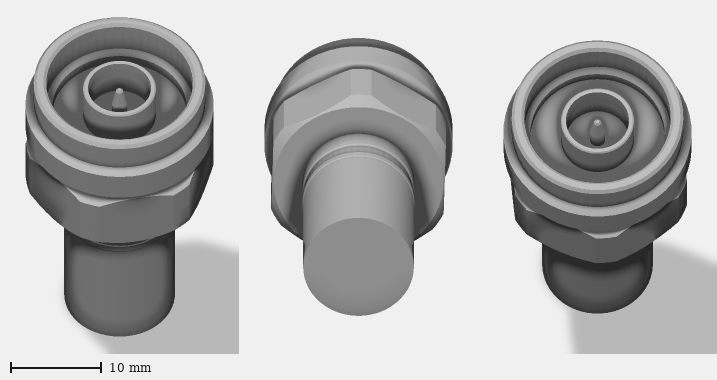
import cadquery as cq
import math

total_height = 36.6
max_radius = 10.4
flare_slope = math.tan(math.radians(30))

collar_radius = 9.48
flare_drop = (max_radius - collar_radius) * flare_slope
rim_chamfer = 0.33
band_top = 32.57
band_bottom = 29.02

groove_top = band_bottom - flare_drop
groove_root_height = 28.15
groove_root_radius = 9.3

nut_across_flats = 19.05
nut_bottom = 20.05
nut_bottom_chamfer = 1.02
nut_shoulder = 27.15
nut_top_radius = 9.75
nut_top = nut_shoulder + (max_radius - nut_top_radius) * flare_slope

neck_radius = 5.93
ring_radius = 6.2
waist_radius = 6.0
sleeve_radius = 6.1
upper_ring_top = 19.85
upper_ring_bottom = 17.53
waist_taper = 0.22
lower_ring_top = 15.5
lower_ring_bottom = 14.8
ring_taper = 0.2

bore_radius = 8.1
bore_bottom = 32.57
well_radius = 7.43
well_top = 32.05
well_floor = 30.8

tube_radius = 4.03
tube_inner_radius = 3.48
tube_top = 35.45
tube_chamfer = 0.15

pin_radius = 0.85
pin_taper_bottom = 32.75
pin_tip_radius = 0.4
pin_taper_top = 34.95
pin_end_radius = 0.2
pin_top = 35.2


def revolve_profile(profile):
    """Close an X-Z half profile and turn it about the Z axis."""
    return profile.close().revolve(360, (0, 0, 0), (0, 1, 0))


def arc_from_groove_root(profile, edge_radius, edge_height):
    """Draw the groove arc that leaves its root vertically and ends at the given edge."""
    depth = edge_radius - groove_root_radius
    rise = edge_height - groove_root_height
    arc_radius = (rise**2 + depth**2) / (2 * depth)
    half_angle = math.asin(rise / arc_radius) / 2
    middle = (
        groove_root_radius + arc_radius * (1 - math.cos(half_angle)),
        groove_root_height + arc_radius * math.sin(half_angle),
    )
    return (
        profile
        .lineTo(groove_root_radius, groove_root_height)
        .threePointArc(middle, (edge_radius, edge_height))
    )


def make_collar():
    profile = cq.Workplane("XZ").moveTo(0, groove_root_height)
    profile = arc_from_groove_root(profile, collar_radius, groove_top)
    profile = (
        profile
        .lineTo(max_radius, band_bottom)
        .lineTo(max_radius, band_top)
        .lineTo(collar_radius, band_top + flare_drop)
        .lineTo(collar_radius, total_height - rim_chamfer)
        .lineTo(collar_radius - rim_chamfer, total_height)
        .lineTo(0, total_height)
    )
    return revolve_profile(profile)


def make_nut():
    profile = cq.Workplane("XZ").moveTo(0, groove_root_height)
    profile = arc_from_groove_root(profile, nut_top_radius, nut_top)
    profile = (
        profile
        .lineTo(max_radius, nut_shoulder)
        .lineTo(max_radius, nut_bottom + nut_bottom_chamfer)
        .lineTo(max_radius - nut_bottom_chamfer, nut_bottom)
        .lineTo(0, nut_bottom)
    )
    across_corners = nut_across_flats / math.cos(math.radians(30))
    hexagon = (
        cq.Workplane("XY", origin=(0, 0, nut_bottom))
        .polygon(6, across_corners)
        .extrude(groove_root_height - nut_bottom)
        .rotate((0, 0, 0), (0, 0, 1), 30)
    )
    return revolve_profile(profile).intersect(hexagon)


def make_sleeve():
    profile = (
        cq.Workplane("XZ")
        .lineTo(sleeve_radius, 0)
        .lineTo(sleeve_radius, lower_ring_bottom - ring_taper)
        .lineTo(ring_radius, lower_ring_bottom)
        .lineTo(ring_radius, lower_ring_top)
        .lineTo(waist_radius, lower_ring_top)
        .lineTo(waist_radius, upper_ring_bottom - waist_taper)
        .lineTo(ring_radius, upper_ring_bottom)
        .lineTo(ring_radius, upper_ring_top)
        .lineTo(neck_radius, upper_ring_top)
        .lineTo(neck_radius, nut_bottom)
        .lineTo(0, nut_bottom)
    )
    return revolve_profile(profile)


def make_socket():
    profile = (
        cq.Workplane("XZ")
        .moveTo(0, well_floor)
        .lineTo(well_radius, well_floor)
        .lineTo(well_radius, well_top)
        .lineTo(bore_radius, bore_bottom)
        .lineTo(bore_radius, total_height - rim_chamfer)
        .lineTo(bore_radius + rim_chamfer, total_height)
        .lineTo(0, total_height)
    )
    return revolve_profile(profile)


def make_contact_tube():
    profile = (
        cq.Workplane("XZ")
        .moveTo(tube_inner_radius, well_floor)
        .lineTo(tube_radius, well_floor)
        .lineTo(tube_radius, tube_top - tube_chamfer)
        .lineTo(tube_radius - tube_chamfer, tube_top)
        .lineTo(tube_inner_radius, tube_top)
    )
    return revolve_profile(profile)


def make_pin():
    profile = (
        cq.Workplane("XZ")
        .moveTo(0, well_floor)
        .lineTo(pin_radius, well_floor)
        .lineTo(pin_radius, pin_taper_bottom)
        .lineTo(pin_tip_radius, pin_taper_top)
        .lineTo(pin_end_radius, pin_top)
        .lineTo(0, pin_top)
    )
    return revolve_profile(profile)


shell = make_collar().union(make_nut()).union(make_sleeve()).cut(make_socket())
result = shell.union(make_contact_tube()).union(make_pin())